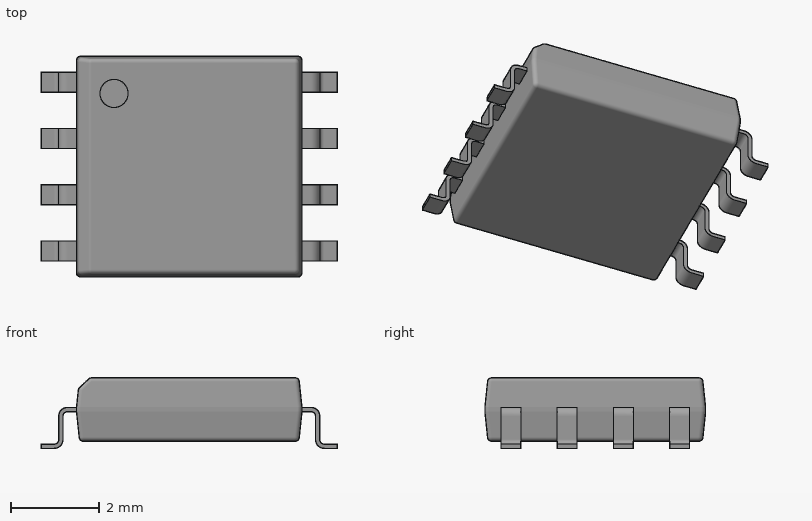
import cadquery as cq
import math

overall_length = 6.7
overall_height = 1.6

body_length = 5.105
body_width = 5.0
standoff = 0.16
draft_angle = 6.0
body_round = 0.1
bevel_top_inset = 0.31
bevel_slope = 43.0

mark_diameter = 0.635
mark_depth = 0.1
mark_x = -1.7
mark_y = 1.655

lead_thickness = 0.1
lead_width = 0.455
lead_pitch = 1.27
leads_per_side = 4
shank_outer_x = 2.955
bend_inner = 0.1

shoulder_top = (standoff + overall_height + lead_thickness) / 2
shoulder_bottom = shoulder_top - lead_thickness
bend_outer = bend_inner + lead_thickness


def make_package():
    """Moulded package: a straight parting band with drafted halves above and below."""
    def band_outline(z):
        return cq.Workplane("XY").workplane(offset=z).rect(body_length, body_width)

    band = band_outline(shoulder_bottom).extrude(lead_thickness)
    upper = band_outline(shoulder_top).extrude(overall_height - shoulder_top, taper=draft_angle)
    lower = band_outline(shoulder_bottom).extrude(standoff - shoulder_bottom, taper=draft_angle)

    bevel_top_x = -body_length / 2 + bevel_top_inset
    cut_run = 2 * bevel_top_inset
    cut_drop = cut_run * math.tan(math.radians(bevel_slope))
    bevel_cutter = (
        cq.Workplane("XZ")
        .moveTo(bevel_top_x, overall_height)
        .lineTo(bevel_top_x - cut_run, overall_height)
        .lineTo(bevel_top_x - cut_run, overall_height - cut_drop)
        .close()
        .extrude(body_width, both=True)
    )

    package = band.union(upper.cut(bevel_cutter)).union(lower)

    loop_reach = body_length
    loop_margin = lead_thickness / 10
    band_loops = cq.selectors.BoxSelector(
        (-loop_reach, -loop_reach, shoulder_bottom - loop_margin),
        (loop_reach, loop_reach, shoulder_top + loop_margin),
    )
    upright_edges = cq.selectors.ParallelDirSelector(cq.Vector(0, 0, 1))
    rounded_edges = cq.selectors.SumSelector(cq.selectors.InverseSelector(band_loops), upright_edges)
    package = package.edges(rounded_edges).fillet(body_round)

    mark = (
        cq.Workplane("XY")
        .workplane(offset=overall_height - mark_depth)
        .center(mark_x, mark_y)
        .circle(mark_diameter / 2)
        .extrude(mark_depth)
    )
    return package.cut(mark)


def make_lead(side, y):
    """One gull-wing lead; side is -1 or +1 for the -X or +X row."""
    root_x = side * body_length / 2
    tip_x = side * overall_length / 2
    outer_x = side * shank_outer_x
    inner_x = side * (shank_outer_x - lead_thickness)
    upper_bend_x = side * (shank_outer_x - bend_outer)
    foot_bend_x = side * (shank_outer_x + bend_inner)
    upper_bend_z = shoulder_top - bend_outer
    foot_bend_z = bend_outer

    corner = math.sin(math.radians(45))

    def upper_mid(radius):
        return (upper_bend_x + side * radius * corner, upper_bend_z + radius * corner)

    def foot_mid(radius):
        return (foot_bend_x - side * radius * corner, foot_bend_z - radius * corner)

    return (
        cq.Workplane("XZ", origin=(0, y + lead_width / 2, 0))
        .moveTo(root_x, shoulder_top)
        .lineTo(upper_bend_x, shoulder_top)
        .threePointArc(upper_mid(bend_outer), (outer_x, upper_bend_z))
        .lineTo(outer_x, foot_bend_z)
        .threePointArc(foot_mid(bend_inner), (foot_bend_x, lead_thickness))
        .lineTo(tip_x, lead_thickness)
        .lineTo(tip_x, 0)
        .lineTo(foot_bend_x, 0)
        .threePointArc(foot_mid(bend_outer), (inner_x, foot_bend_z))
        .lineTo(inner_x, upper_bend_z)
        .threePointArc(upper_mid(bend_inner), (upper_bend_x, shoulder_bottom))
        .lineTo(root_x, shoulder_bottom)
        .close()
        .extrude(lead_width)
    )


package = make_package()

first_lead_y = -lead_pitch * (leads_per_side - 1) / 2
leads = [
    make_lead(side, first_lead_y + index * lead_pitch)
    for side in (-1, 1)
    for index in range(leads_per_side)
]

result = cq.Compound.makeCompound([package.val(), *[lead.val() for lead in leads]])